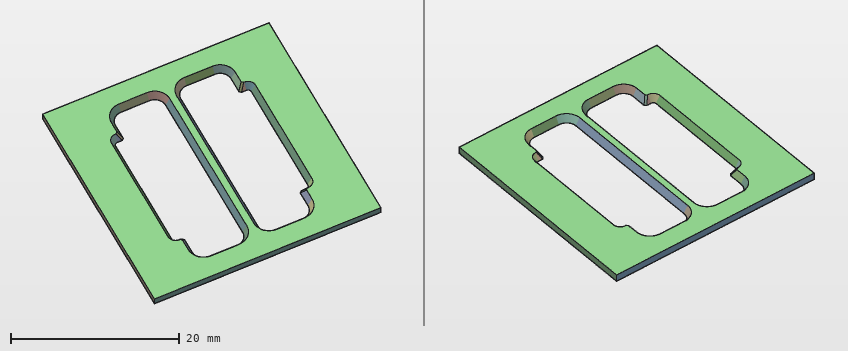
import cadquery as cq

side = 30.0
thickness = 1.0

bar_width = 0.9
window_width = 24.6
window_corner_radius = 2.0
shoulder_y = 8.22

tab_width = 17.1
tab_end_y = 9.55
tab_corner_radius = 1.0

wall_inset = 0.57

corner_bevel = 0.2


def rounded_rectangle(width, height, corner_radius):
    return cq.Sketch().rect(width, height).vertices().fillet(corner_radius)


def tapered_opening(width, y_inner, y_outer, corner_radius):
    """Rounded rectangular cutter that narrows downward from the top face."""
    height = y_outer - y_inner
    top = rounded_rectangle(width, height, corner_radius)
    bottom = rounded_rectangle(
        width - 2 * wall_inset,
        height - 2 * wall_inset,
        corner_radius - wall_inset,
    )
    center_y = (y_inner + y_outer) / 2
    bottom_place = cq.Location(cq.Vector(0, center_y, 0))
    top_place = cq.Location(cq.Vector(0, center_y, thickness))
    return (
        cq.Workplane("XY")
        .placeSketch(bottom.moved(bottom_place), top.moved(top_place))
        .loft(ruled=True)
    )


bar_edge_y = bar_width / 2
main_opening = tapered_opening(window_width, bar_edge_y, shoulder_y, window_corner_radius)
tab_opening = tapered_opening(tab_width, bar_edge_y, tab_end_y, tab_corner_radius)
window = main_opening.union(tab_opening)

plate = cq.Workplane("XY").box(side, side, thickness, centered=(True, True, False))
plate = plate.cut(window).cut(window.mirror("XZ"))

edge_x = (tab_width - wall_inset) / 2
edge_y = shoulder_y - wall_inset / 2
pick_margin = 0.05
result = plate
for x_side in (-1, 1):
    for y_side in (-1, 1):
        x = x_side * edge_x
        y = y_side * edge_y
        z = thickness / 2
        lower = (x - pick_margin, y - pick_margin, z - pick_margin)
        upper = (x + pick_margin, y + pick_margin, z + pick_margin)
        corner_edge = cq.selectors.BoxSelector(lower, upper)
        result = result.edges(corner_edge).chamfer(corner_bevel)